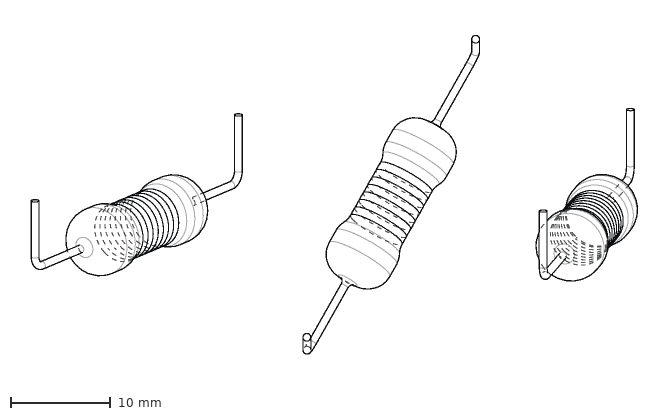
import cadquery as cq
import math


cap_diameter = 7.0
barrel_diameter = 5.95
barrel_length = 6.16
body_length = 18.05
cap_corner_radius = 2.45
cap_straight_length = 1.45

band_diameter = 5.97
band_count = 4
band_width = barrel_length / (2 * band_count - 1)
band_pitch = 2 * band_width

lead_diameter = 0.8
lead_span = 35.0
lead_tip_height = 7.1
bend_radius = 1.2

cap_radius = cap_diameter / 2
barrel_radius = barrel_diameter / 2
lead_radius = lead_diameter / 2
body_end = body_length / 2
lead_y = lead_span / 2

cap_corner_start = body_end - cap_corner_radius
end_face_radius = cap_radius - cap_corner_radius
lead_fillet_radius = end_face_radius - lead_radius
lead_fillet_end = body_end + lead_fillet_radius

diagonal = math.sqrt(0.5)

flare_inner_y = barrel_length / 2
flare_outer_y = cap_corner_start - cap_straight_length
flare_middle_y = (flare_inner_y + flare_outer_y) / 2
flare_middle_radius = (barrel_radius + cap_radius) / 2


def end_cap():
    """Flare and rounded cap, from the end of the barrel to the fillet around the +Y lead."""
    flare_arc_length = flare_middle_y - flare_inner_y
    flare_arc_rise = flare_middle_radius - barrel_radius
    flare_arc_radius = (flare_arc_length**2 + flare_arc_rise**2) / (2 * flare_arc_rise)
    flare_half_angle = math.asin(flare_arc_length / flare_arc_radius) / 2
    flare_start_middle = (
        barrel_radius + flare_arc_radius * (1 - math.cos(flare_half_angle)),
        flare_inner_y + flare_arc_radius * math.sin(flare_half_angle),
    )
    corner_middle = (
        end_face_radius + cap_corner_radius * diagonal,
        cap_corner_start + cap_corner_radius * diagonal,
    )
    fillet_middle = (
        end_face_radius - lead_fillet_radius * diagonal,
        lead_fillet_end - lead_fillet_radius * diagonal,
    )
    profile = (
        cq.Workplane("XY")
        .moveTo(0, flare_inner_y)
        .lineTo(barrel_radius, flare_inner_y)
        .threePointArc(flare_start_middle, (flare_middle_radius, flare_middle_y))
        .tangentArcPoint((cap_radius, flare_outer_y), relative=False)
        .lineTo(cap_radius, cap_corner_start)
        .threePointArc(corner_middle, (end_face_radius, body_end))
        .threePointArc(fillet_middle, (lead_radius, lead_fillet_end))
        .lineTo(0, lead_fillet_end)
        .close()
    )
    return profile.revolve(360, (0, 0, 0), (0, 1, 0))


def half_lead():
    """Lead from the fillet at the cap out along +Y, then up to its tip."""
    bend_start = lead_y - bend_radius
    bend_middle = (
        bend_start + bend_radius * diagonal,
        bend_radius * (1 - diagonal),
    )
    path = (
        cq.Workplane("YZ")
        .moveTo(lead_fillet_end, 0)
        .lineTo(bend_start, 0)
        .threePointArc(bend_middle, (lead_y, bend_radius))
        .lineTo(lead_y, lead_tip_height)
    )
    section = cq.Workplane("XZ", origin=(0, lead_fillet_end, 0)).circle(lead_radius)
    return section.sweep(path)


def disc(diameter, width, center_y):
    """Round disc on the body axis, centred at the given Y."""
    face = cq.Workplane("XZ", origin=(0, center_y + width / 2, 0)).circle(diameter / 2)
    return face.extrude(width)


cap_and_lead = end_cap().union(half_lead())
result = disc(barrel_diameter, barrel_length, 0).union(cap_and_lead).union(cap_and_lead.mirror("XZ"))

first_band_y = -band_pitch * (band_count - 1) / 2
for band_index in range(band_count):
    band_y = first_band_y + band_index * band_pitch
    result = result.union(disc(band_diameter, band_width, band_y))